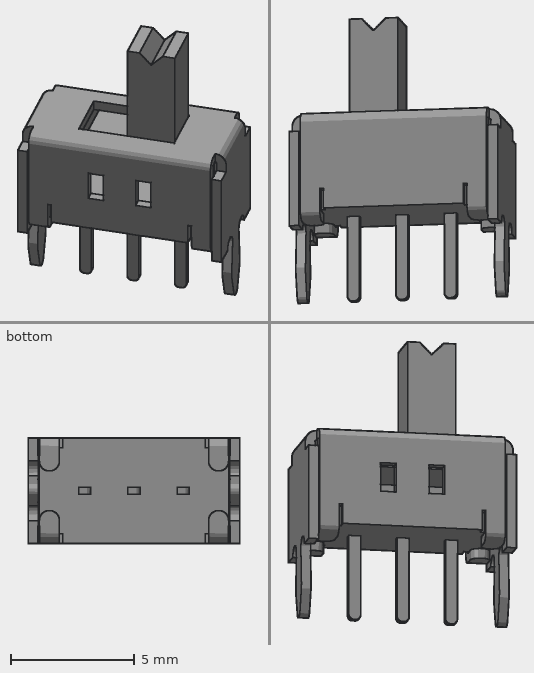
import cadquery as cq


sheet = 0.4
cover_length = 7.68
cover_width = 4.3
cover_top = 7.5
skirt_bottom = 3.5
ceiling = cover_top - sheet
bend_inner_radius = 0.06
bend_outer_radius = sheet + bend_inner_radius

opening_length = 4.02
opening_width = 2.21

window_width = 0.64
window_height = 1.2
window_bottom = 4.91

tab_width = 0.8
tab_bottom = skirt_bottom - bend_outer_radius
tab_reach = 1.35
tab_corner_radius = 0.39
slit_width = 0.15
slit_height = 0.82

end_bend_width = 2.88
end_plate_top = 6.7
end_plate_bottom = 2.81
notch_radius = 0.38
barb_neck_width = 0.93
barb_shoulder_width = 1.24
barb_shoulder_height = 1.21
barb_tip_width = 0.44
barb_shoulder_radius = 0.72
barb_tip_radius = 0.29

base_thickness = 1.0
pin_pitch = 2.0
pin_width = 0.5
pin_thickness = 0.3
pin_tip_radius = 0.2

lever_length = 2.0
lever_width = 2.01
lever_top = 11.5
lever_x = opening_length / 2 - lever_length / 2
notch_half_width = 0.5
slider_plate_length = 5.61
slider_plate_width = 3.01
slider_plate_thickness = 1.0


def block(length, width, bottom, top, x=0.0, y=0.0):
    """Upright box centred on (x, y) between two heights."""
    return cq.Workplane("XY").box(length, width, top - bottom, centered=(True, True, False)).translate(
        (x, y, bottom)
    )


def both_ends(body):
    """The body together with its mirror image at the -X end."""
    return body.union(body.mirror("YZ"))


def both_sides(body):
    """The body together with its mirror image at the +Y side."""
    return body.union(body.mirror("XZ"))


def channel():
    """Top sheet and two skirts, rounded along the outer folds, with all openings cut."""
    shell = block(cover_length, cover_width, skirt_bottom, cover_top).edges("|X and >Z").fillet(sheet)
    cavity = block(cover_length, cover_width - 2 * sheet, skirt_bottom, ceiling)
    opening = block(opening_length, opening_width, ceiling, cover_top)
    shell = shell.cut(cavity).cut(opening)

    front_skirt_y = (sheet - cover_width) / 2
    window_top = window_bottom + window_height
    window = block(window_width, sheet, window_bottom, window_top, pin_pitch / 2, front_skirt_y)

    slit_x = cover_length / 2 - tab_width - slit_width / 2
    slit = block(slit_width, sheet, skirt_bottom, skirt_bottom + slit_height, slit_x, front_skirt_y)
    return shell.cut(both_ends(window)).cut(both_sides(both_ends(slit)))


def clinch_tab():
    """Tab at the front +X corner, folded inward under the base, with a rounded free end."""
    outer_y = -cover_width / 2
    bend_y = outer_y + bend_outer_radius
    tab_end_y = outer_y + tab_reach
    tab_top = tab_bottom + sheet
    tab = (
        cq.Workplane("YZ", origin=(cover_length / 2 - tab_width, 0, 0))
        .moveTo(outer_y, skirt_bottom)
        .radiusArc((bend_y, tab_bottom), -bend_outer_radius)
        .lineTo(tab_end_y, tab_bottom)
        .lineTo(tab_end_y, tab_top)
        .lineTo(bend_y, tab_top)
        .radiusArc((outer_y + sheet, skirt_bottom), bend_inner_radius)
        .close()
        .extrude(tab_width)
    )
    return tab.edges("|Z and >Y").fillet(tab_corner_radius)


def end_bend():
    """Fold that carries the +X end plate down from the top sheet."""
    fold_x = cover_length / 2
    fold_z = cover_top - bend_outer_radius
    inner_x = fold_x + bend_inner_radius
    outer_x = fold_x + bend_outer_radius
    return (
        cq.Workplane("XZ")
        .moveTo(fold_x, cover_top)
        .radiusArc((outer_x, fold_z), bend_outer_radius)
        .lineTo(outer_x, end_plate_top)
        .lineTo(inner_x, end_plate_top)
        .lineTo(inner_x, fold_z)
        .radiusArc((fold_x, ceiling), -bend_inner_radius)
        .close()
        .extrude(end_bend_width / 2, both=True)
    )


def end_plate():
    """Flat +X end plate with a barb between two round notches."""
    inner_x = cover_length / 2 + bend_inner_radius
    plate = block(sheet, cover_width, end_plate_bottom, end_plate_top, inner_x + sheet / 2)
    plane = cq.Workplane("YZ", origin=(inner_x, 0, 0))
    notch_y = barb_neck_width / 2 + notch_radius
    notches = (
        plane.pushPoints([(-notch_y, end_plate_bottom), (notch_y, end_plate_bottom)])
        .circle(notch_radius)
        .extrude(sheet)
    )
    barb = (
        plane.moveTo(-barb_neck_width / 2, end_plate_bottom)
        .lineTo(-barb_shoulder_width / 2, barb_shoulder_height)
        .lineTo(-barb_tip_width / 2, 0)
        .lineTo(barb_tip_width / 2, 0)
        .lineTo(barb_shoulder_width / 2, barb_shoulder_height)
        .lineTo(barb_neck_width / 2, end_plate_bottom)
        .close()
        .extrude(sheet)
    )
    barb = barb.edges("|X and (<Y or >Y)").fillet(barb_shoulder_radius)
    barb = barb.edges("|X and <Z").fillet(barb_tip_radius)
    return plate.cut(notches).union(barb)


def base():
    """Insulating base filling the bottom of the cover, with three pins below it."""
    body = block(cover_length, cover_width - 2 * sheet, skirt_bottom, skirt_bottom + base_thickness)
    for position in (-1, 0, 1):
        pin = block(pin_width, pin_thickness, 0, skirt_bottom, position * pin_pitch)
        body = body.union(pin.edges("|Y and <Z").fillet(pin_tip_radius))
    return body


def slider():
    """Sliding plate under the top sheet and its lever with a V notch across the top."""
    plate = block(slider_plate_length, slider_plate_width, ceiling - slider_plate_thickness, ceiling, lever_x)
    lever = block(lever_length, lever_width, ceiling, lever_top, lever_x)
    notch = (
        cq.Workplane("XZ")
        .moveTo(lever_x - notch_half_width, lever_top)
        .lineTo(lever_x, lever_top - notch_half_width)
        .lineTo(lever_x + notch_half_width, lever_top)
        .close()
        .extrude(lever_width / 2, both=True)
    )
    return plate.union(lever).cut(notch)


result = (
    channel()
    .union(both_sides(both_ends(clinch_tab())))
    .union(both_ends(end_bend().union(end_plate())))
    .union(base())
    .union(slider())
)